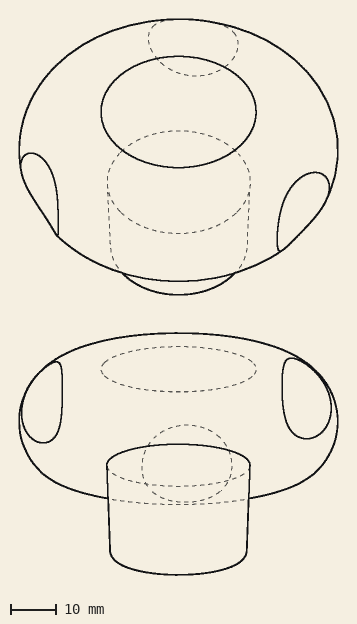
import cadquery as cq
import math

outer_radius = 35.0
total_height = 44.0
head_height = 23.0

rim_radius = 13.0
dish_depth = 1.0
rim_edge_fillet = 3.5

stem_end_radius = 15.0
stem_draft = 2.0
stem_end_fillet = 1.5

scallop_count = 3
scallop_diameter = 50.0
scallop_axis_radius = 56.5
first_scallop_angle = -90.0

head_bottom = total_height - head_height
rim_centre_radius = outer_radius - rim_radius
rim_centre_height = total_height - rim_radius


def make_head():
    """Revolve the rim profile: dish floor, rounded rim, flat underside."""
    dish_height = total_height - dish_depth
    dish_rise = dish_height - rim_centre_height
    dish_radius = rim_centre_radius - math.sqrt(rim_radius**2 - dish_rise**2)
    underside_drop = rim_centre_height - head_bottom
    underside_radius = rim_centre_radius + math.sqrt(rim_radius**2 - underside_drop**2)
    head = (
        cq.Workplane("XZ")
        .moveTo(0, head_bottom)
        .lineTo(underside_radius, head_bottom)
        .threePointArc((outer_radius, rim_centre_height), (dish_radius, dish_height))
        .lineTo(0, dish_height)
        .close()
        .revolve(360, (0, 0, 0), (0, 1, 0))
    )
    return head.faces("<Z").edges().fillet(rim_edge_fillet)


def make_stem():
    """Tapered stem with a rounded free end, reaching up to the head."""
    stem = cq.Workplane("XY").circle(stem_end_radius).extrude(head_bottom, taper=-stem_draft)
    return stem.faces("<Z").edges().fillet(stem_end_fillet)


def make_scallops():
    """Cylinders evenly spaced around the head."""
    return (
        cq.Workplane("XY", origin=(0, 0, head_bottom))
        .polarArray(scallop_axis_radius, first_scallop_angle, 360, scallop_count)
        .circle(scallop_diameter / 2)
        .extrude(head_height)
    )


result = make_head().cut(make_scallops()).union(make_stem())